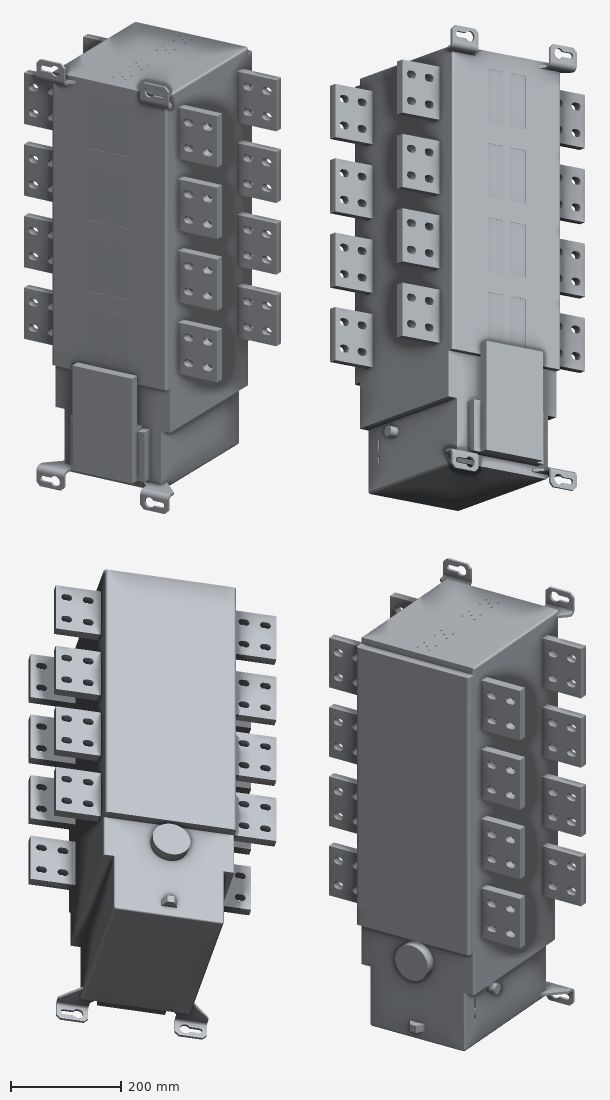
import cadquery as cq

TOTAL_HEIGHT = 831.0

BODY_WIDTH = 243.0
NARROW_WIDTH = 204.5
BODY_BOTTOM = 24.0
NARROW_TOP = 144.0
COVER_BOTTOM = 230.0
COVER_TOP = 789.0
BODY_TOP = 802.0
BODY_FRONT = 24.0
LOWER_FRONT = 37.0
BODY_BACK = 311.0
COVER_BACK = 327.0
EDGE_RADIUS = 4.0
LOWER_BACK_RADIUS = 3.0
BOTTOM_RADIUS = 5.0
BACK_COVER_RADIUS = 6.0

TERMINAL_SPAN = 410.0
TERMINAL_HEIGHT = 100.0
TERMINAL_THICKNESS = 17.0
TERMINAL_YS = (72.0, 278.0)
POLE_COUNT = 4
POLE_PITCH = 140.0
TOP_POLE_Z = 719.0
POLE_ZS = [TOP_POLE_Z - POLE_PITCH * pole for pole in range(POLE_COUNT)]
SLOT_LENGTH = 20.0
SLOT_HEIGHT = 14.0
SLOT_PITCH_X = 40.0
SLOT_PITCH_Z = 50.0
SLOT_ROW_X = 164.5

PANEL_WIDTH = 33.0
PANEL_X = 25.0
PANEL_DEPTH = 1.0

HANDLE_WIDTH = 126.0
HANDLE_THICKNESS = 18.0
HANDLE_BOTTOM = 45.0
HANDLE_TOP = 249.0
BASE_WIDTH = 156.0
BASE_TOP = 141.0
BASE_STEP_HEIGHT = 4.0

FOOT_INNER_X = 81.0
FOOT_OUTER_X = 140.0
FOOT_THICKNESS = 5.0
FOOT_BEND_RADIUS = 10.0
FOOT_CHAMFER = 7.5
BOTTOM_SHELF_OFFSET = 37.0
TOP_SHELF_OFFSET = 42.0
BOTTOM_SHELF_STRAIGHT = 20.0
TOP_SHELF_STRAIGHT = 14.0
SHELF_BACK = 60.0
SHELF_INNER_X = 66.5
KEYHOLE_X = 100.0
KEYHOLE_Z = 16.0
KEYHOLE_RADIUS = 10.0
KEYHOLE_SLOT_HEIGHT = 11.0
KEYHOLE_TIP_X = 131.0

POST_RADIUS = 35.0
POST_Z = 185.0
POST_BACK = 331.0
NUB_ROOT_WIDTH = 30.0
NUB_TIP_WIDTH = 13.0
NUB_BOTTOM = 44.0
NUB_HEIGHT = 14.0
NUB_BACK = 326.0

PIN_RADIUS = 10.0
PIN_LENGTH = 17.0
PIN_Y = 227.0
PIN_Z = 121.0
SIDE_SLOT_Y = 277.0
SIDE_SLOT_WIDTH = 6.0
SIDE_SLOT_RANGES = ((98.0, 120.0), (75.0, 87.0))
SIDE_SLOT_DEPTH = 2.5

VENT_YS = (70.0, 128.0, 221.0, 279.0)
VENT_DIAMETER = 4.0
VENT_OFFSET_X = 12.5
VENT_OFFSET_Y = 11.0
VENT_DEPTH = 4.0


def block(x_range, y_range, z_range):
    """A box between the given limits."""
    size = [high - low for low, high in (x_range, y_range, z_range)]
    corner = (x_range[0], y_range[0], z_range[0])
    return cq.Workplane("XY").box(*size, centered=False).translate(corner)


def centered_block(width, y_range, z_range):
    """A box centred on X = 0."""
    return block((-width / 2, width / 2), y_range, z_range)


def rod_along_y(x, z, radius, y_start, y_end):
    solid = cq.Solid.makeCylinder(radius, y_end - y_start, cq.Vector(x, y_start, z), cq.Vector(0, 1, 0))
    return cq.Workplane(obj=solid)


def enclosure():
    narrow = centered_block(NARROW_WIDTH, (LOWER_FRONT, BODY_BACK), (BODY_BOTTOM, NARROW_TOP))
    narrow = narrow.edges("|Y and <Z").fillet(BOTTOM_RADIUS).edges("|Z and >Y").fillet(LOWER_BACK_RADIUS)
    middle = centered_block(BODY_WIDTH, (LOWER_FRONT, BODY_BACK), (NARROW_TOP, COVER_BOTTOM))
    middle = middle.edges("|Z and >Y").fillet(LOWER_BACK_RADIUS)
    upper = centered_block(BODY_WIDTH, (BODY_FRONT, BODY_BACK), (COVER_BOTTOM, BODY_TOP))
    upper = upper.edges("|Z or (|Y and >Z)").fillet(EDGE_RADIUS)
    back_cover_front = BODY_BACK - EDGE_RADIUS
    back_cover = centered_block(BODY_WIDTH, (back_cover_front, COVER_BACK), (COVER_BOTTOM, COVER_TOP))
    back_cover = back_cover.edges("|Z and >Y").fillet(BACK_COVER_RADIUS)
    return narrow.union(middle).union(upper).union(back_cover)


def terminal(y, z):
    """A bar through the enclosure with four slotted bolt holes at each end."""
    bar = centered_block(
        TERMINAL_SPAN,
        (y - TERMINAL_THICKNESS / 2, y + TERMINAL_THICKNESS / 2),
        (z - TERMINAL_HEIGHT / 2, z + TERMINAL_HEIGHT / 2),
    )
    centers = [
        (side * SLOT_ROW_X + dx, dz)
        for side in (-1, 1)
        for dx in (-SLOT_PITCH_X / 2, SLOT_PITCH_X / 2)
        for dz in (-SLOT_PITCH_Z / 2, SLOT_PITCH_Z / 2)
    ]
    slots = (
        cq.Workplane("XZ", origin=(0, y, z))
        .pushPoints(centers)
        .slot2D(SLOT_LENGTH, SLOT_HEIGHT)
        .extrude(TERMINAL_THICKNESS, both=True)
    )
    return bar.cut(slots)


def panel_recess(x, z):
    return block(
        (x - PANEL_WIDTH / 2, x + PANEL_WIDTH / 2),
        (BODY_FRONT, BODY_FRONT + PANEL_DEPTH),
        (z - TERMINAL_HEIGHT / 2, z + TERMINAL_HEIGHT / 2),
    )


def handle():
    grip = centered_block(HANDLE_WIDTH, (0, HANDLE_THICKNESS), (HANDLE_BOTTOM, HANDLE_TOP))
    base = centered_block(BASE_WIDTH, (HANDLE_THICKNESS, LOWER_FRONT), (HANDLE_BOTTOM, BASE_TOP))
    step_top = BASE_TOP + BASE_STEP_HEIGHT
    step = centered_block(HANDLE_WIDTH, (HANDLE_THICKNESS, LOWER_FRONT), (BASE_TOP, step_top))
    return grip.union(base).union(step)


def foot(shelf_top, shelf_straight):
    """A bottom foot on the +X side: an angle bracket with a keyhole in its upright tab.

    shelf_top is the height of the shelf's outer face above the end of the tab, and
    shelf_straight is the depth at which the sides of the shelf start to slant.
    """
    bend_inner_radius = FOOT_BEND_RADIUS - FOOT_THICKNESS
    shelf_bottom = shelf_top - FOOT_THICKNESS
    angle = (
        cq.Workplane("YZ", origin=(FOOT_INNER_X, 0, 0))
        .lineTo(0, shelf_top - FOOT_BEND_RADIUS)
        .radiusArc((FOOT_BEND_RADIUS, shelf_top), FOOT_BEND_RADIUS)
        .lineTo(shelf_straight, shelf_top)
        .lineTo(shelf_straight, shelf_bottom)
        .lineTo(FOOT_BEND_RADIUS, shelf_bottom)
        .radiusArc((FOOT_THICKNESS, shelf_bottom - bend_inner_radius), -bend_inner_radius)
        .lineTo(FOOT_THICKNESS, 0)
        .close()
        .extrude(FOOT_OUTER_X - FOOT_INNER_X)
        .edges("|Y and <Z")
        .chamfer(FOOT_CHAMFER)
    )
    slant = SHELF_BACK - shelf_straight
    inner_slant = FOOT_INNER_X - SHELF_INNER_X
    shelf = (
        cq.Workplane("XY", origin=(0, 0, shelf_bottom))
        .moveTo(FOOT_INNER_X, shelf_straight)
        .lineTo(FOOT_OUTER_X, shelf_straight)
        .lineTo(FOOT_OUTER_X - slant, SHELF_BACK)
        .lineTo(SHELF_INNER_X, SHELF_BACK)
        .lineTo(SHELF_INNER_X, shelf_straight + inner_slant)
        .close()
        .extrude(FOOT_THICKNESS)
    )
    keyhole = rod_along_y(KEYHOLE_X, KEYHOLE_Z, KEYHOLE_RADIUS, 0, FOOT_THICKNESS)
    tip_radius = KEYHOLE_SLOT_HEIGHT / 2
    tip_center_x = KEYHOLE_TIP_X - tip_radius
    keyhole_tip = rod_along_y(tip_center_x, KEYHOLE_Z, tip_radius, 0, FOOT_THICKNESS)
    keyhole_slot = block(
        (KEYHOLE_X, tip_center_x),
        (0, FOOT_THICKNESS),
        (KEYHOLE_Z - tip_radius, KEYHOLE_Z + tip_radius),
    )
    return angle.union(shelf).cut(keyhole).cut(keyhole_tip).cut(keyhole_slot)


def feet():
    """Two feet at the bottom and two upside-down feet at the top."""
    bottom_foot = foot(BOTTOM_SHELF_OFFSET, BOTTOM_SHELF_STRAIGHT)
    top_foot = foot(TOP_SHELF_OFFSET, TOP_SHELF_STRAIGHT).mirror("XY", (0, 0, TOTAL_HEIGHT / 2))
    right_feet = bottom_foot.union(top_foot)
    return right_feet.union(right_feet.mirror("YZ"))


def back_nub():
    """A nub whose sides taper from the back face to its tip."""
    return (
        cq.Workplane("XY", origin=(0, 0, NUB_BOTTOM))
        .moveTo(-NUB_ROOT_WIDTH / 2, BODY_BACK)
        .lineTo(NUB_ROOT_WIDTH / 2, BODY_BACK)
        .lineTo(NUB_TIP_WIDTH / 2, NUB_BACK)
        .lineTo(-NUB_TIP_WIDTH / 2, NUB_BACK)
        .close()
        .extrude(NUB_HEIGHT)
    )


def side_pin():
    start = cq.Vector(-NARROW_WIDTH / 2 - PIN_LENGTH, PIN_Y, PIN_Z)
    return cq.Workplane(obj=cq.Solid.makeCylinder(PIN_RADIUS, PIN_LENGTH, start, cq.Vector(1, 0, 0)))


def side_slot(z_range):
    return block(
        (-NARROW_WIDTH / 2, -NARROW_WIDTH / 2 + SIDE_SLOT_DEPTH),
        (SIDE_SLOT_Y - SIDE_SLOT_WIDTH / 2, SIDE_SLOT_Y + SIDE_SLOT_WIDTH / 2),
        z_range,
    )


def vent_holes():
    top = cq.Workplane("XY", origin=(0, 0, BODY_TOP))
    corners = [
        (dx, y + dy)
        for y in VENT_YS
        for dx in (-VENT_OFFSET_X, VENT_OFFSET_X)
        for dy in (-VENT_OFFSET_Y, VENT_OFFSET_Y)
    ]
    centers = [(0, y) for y in VENT_YS]
    return top.pushPoints(corners + centers).circle(VENT_DIAMETER / 2).extrude(-VENT_DEPTH)


result = enclosure().union(handle()).union(feet()).union(side_pin())
result = result.union(rod_along_y(0, POST_Z, POST_RADIUS, BODY_BACK, POST_BACK))
result = result.union(back_nub())
for pole_z in POLE_ZS:
    for terminal_y in TERMINAL_YS:
        result = result.union(terminal(terminal_y, pole_z))
    for panel_x in (-PANEL_X, PANEL_X):
        result = result.cut(panel_recess(panel_x, pole_z))
for slot_range in SIDE_SLOT_RANGES:
    result = result.cut(side_slot(slot_range))
result = result.cut(vent_holes())